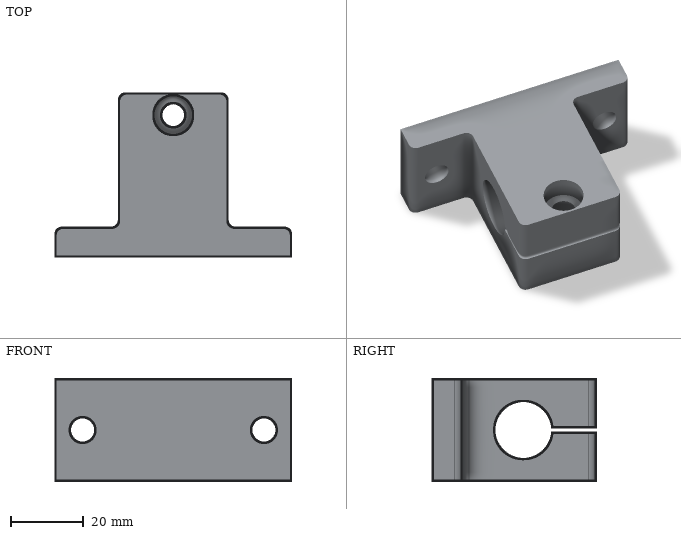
import cadquery as cq

flange_width = 65.0
flange_thickness = 8.0
height = 28.0

block_width = 30.0
depth = 45.0
corner_radius = 2.0

bore_diameter = 16.0
bore_y = 25.0
slit_width = 1.5

mount_hole_diameter = 7.0
mount_hole_spacing = 50.0

screw_y = 39.0
screw_hole_diameter = 6.6
screw_head_diameter = 11.0
screw_head_depth = 6.5


def make_body():
    """T-shaped flange and block, rounded everywhere except at the mounting face."""
    flange = cq.Workplane("XY").box(flange_width, flange_thickness, height, centered=(True, False, True))
    block = cq.Workplane("XY").box(block_width, depth, height, centered=(True, False, True))
    body = flange.union(block)
    return body.edges("|Z").edges("not <Y").fillet(corner_radius)


def cut_shaft_bore(body):
    """Cut the shaft bore through the block and the slit from the bore to the free end."""
    bore = (
        cq.Workplane("YZ")
        .center(bore_y, 0)
        .circle(bore_diameter / 2)
        .extrude(block_width / 2, both=True)
    )
    slit = (
        cq.Workplane("XY")
        .box(block_width, depth - bore_y, slit_width, centered=(True, False, True))
        .translate((0, bore_y, 0))
    )
    return body.cut(bore).cut(slit)


def cut_mounting_holes(body):
    """Drill the two mounting holes through the flange."""
    half_spacing = mount_hole_spacing / 2
    holes = (
        cq.Workplane("XZ")
        .pushPoints([(-half_spacing, 0), (half_spacing, 0)])
        .circle(mount_hole_diameter / 2)
        .extrude(-flange_thickness)
    )
    return body.cut(holes)


def cut_clamp_screw_hole(body):
    """Drill the clamp screw hole across the slit, counterbored from the top."""
    return (
        body.faces(">Z")
        .workplane(origin=(0, screw_y, height / 2))
        .cboreHole(screw_hole_diameter, screw_head_diameter, screw_head_depth)
    )


result = make_body()
result = cut_shaft_bore(result)
result = cut_mounting_holes(result)
result = cut_clamp_screw_hole(result)